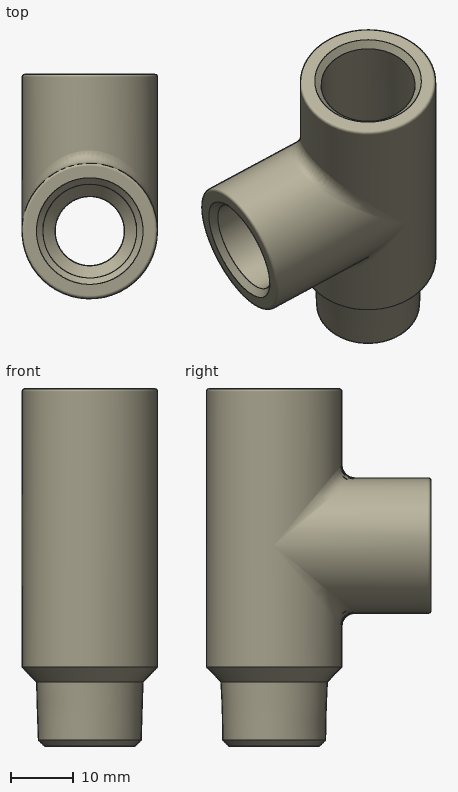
import cadquery as cq

total_height = 57
body_diameter = 21.6
total_depth = 35.8
body_radius = body_diameter / 2
port_reach = total_depth - body_radius
branch_axis_z = total_height - port_reach
edge_round = 0.45
crotch_radius = 2.0

shoulder_z = 12.65
spigot_top_z = 10.25
spigot_tip_chamfer = 1.0
spigot_tip_diameter = 14.35
spigot_taper = 1 / 16

socket_diameter = 14.95
socket_mouth_diameter = 17.0
bore_overrun = 0.55
through_diameter = 11.0
socket_radius = socket_diameter / 2
through_radius = through_diameter / 2
mouth_radius = socket_mouth_diameter / 2


def revolved(points):
    """Revolve a closed (radius, height) outline about Z."""
    return cq.Workplane("XZ").polyline(points).close().revolve(360, (0, 0, 0), (0, 1, 0))


def as_branch(shape):
    """Turn a shape standing on the crossing of the axes so that it points along +Y."""
    return shape.rotate((0, 0, 0), (1, 0, 0), -90).translate((0, 0, branch_axis_z))


def make_body():
    run_length = total_height - shoulder_z
    run = cq.Workplane("XY").workplane(offset=shoulder_z).circle(body_radius).extrude(run_length)
    branch = as_branch(cq.Workplane("XY").circle(body_radius).extrude(port_reach))
    body = branch.union(run).edges("%ELLIPSE").fillet(crotch_radius)
    return body.faces(">Z or >Y").edges().fillet(edge_round)


def make_spigot():
    tip_radius = spigot_tip_diameter / 2
    thread_start_radius = tip_radius + spigot_tip_chamfer
    thread_length = spigot_top_z - spigot_tip_chamfer
    thread_end_radius = thread_start_radius + thread_length * spigot_taper / 2
    return revolved([
        (0, 0),
        (tip_radius, 0),
        (thread_start_radius, spigot_tip_chamfer),
        (thread_end_radius, spigot_top_z),
        (body_radius, shoulder_z),
        (0, shoulder_z),
    ])


def socket_outline(end):
    """Corners of a socket about Z with its face at port_reach, from the axis to the bore at height end."""
    mouth_depth = mouth_radius - socket_radius
    return [
        (0, port_reach),
        (mouth_radius, port_reach),
        (socket_radius, port_reach - mouth_depth),
        (socket_radius, end),
    ]


def make_run_bore():
    """Socket passing the branch bore, then a 45 degree cone down to the bore through the spigot."""
    floor = -socket_radius - bore_overrun
    cone_end = floor - (socket_radius - through_radius)
    outline = socket_outline(floor) + [
        (through_radius, cone_end),
        (through_radius, -branch_axis_z),
        (0, -branch_axis_z),
    ]
    return revolved(outline).translate((0, 0, branch_axis_z))


def make_branch_bore():
    """Socket of the branch, ending at the axis of the run."""
    return as_branch(revolved(socket_outline(0) + [(0, 0)]))


result = make_body().union(make_spigot()).cut(make_run_bore()).cut(make_branch_bore())